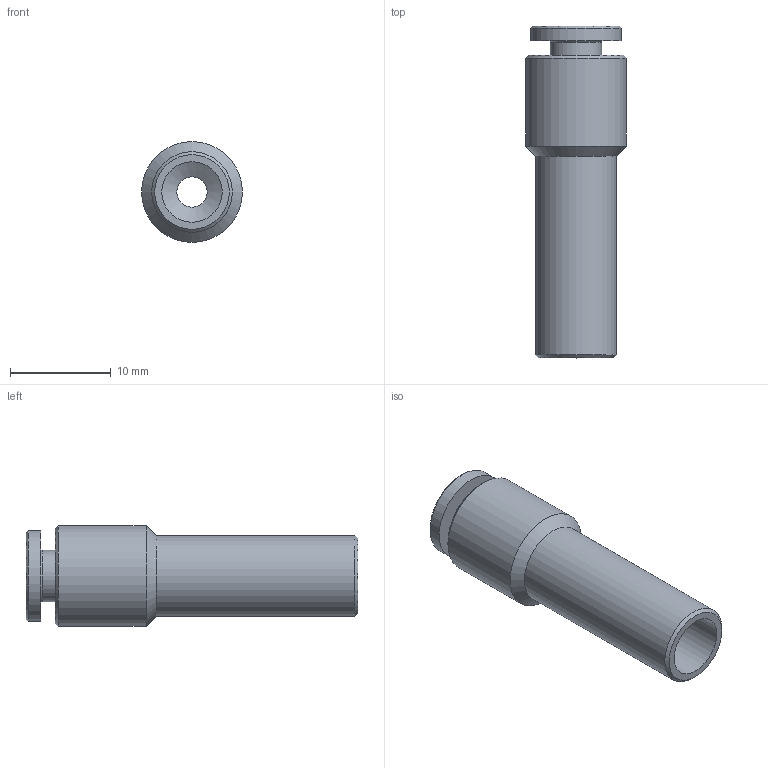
import cadquery as cq
import math


stem_length = 20.0
shoulder_length = 1.0
body_length = 9.0
collar_length = 2.9
flange_thickness = 1.45
overall_length = stem_length + shoulder_length + body_length + collar_length

stem_radius = 4.0
body_radius = stem_radius + shoulder_length
flange_radius = 4.5
neck_radius = 2.55

stem_chamfer = 0.3
body_chamfer = 0.3
flange_chamfer = 0.2
neck_chamfer = 0.15

bore_radius = 3.0
passage_radius = 1.5
bore_depth = stem_length
bore_cone_angle = 120.0
bore_cone_length = (bore_radius - passage_radius) / math.tan(math.radians(bore_cone_angle / 2))

stem_end = -overall_length / 2
shoulder_start = stem_end + stem_length
body_start = shoulder_start + shoulder_length
body_end = body_start + body_length
collar_end = body_end + collar_length
flange_start = collar_end - flange_thickness


def revolve_about_y(points):
    """Turn a closed (radius, y) outline around the Y axis."""
    return cq.Workplane("XY").polyline(points).close().revolve(360, (0, 0, 0), (0, 1, 0))


def make_outer_shape():
    """Stem, conical shoulder, body, neck and flange in one turned outline."""
    return revolve_about_y([
        (0, stem_end),
        (stem_radius - stem_chamfer, stem_end),
        (stem_radius, stem_end + stem_chamfer),
        (stem_radius, shoulder_start),
        (body_radius, body_start),
        (body_radius, body_end - body_chamfer),
        (body_radius - body_chamfer, body_end),
        (neck_radius, body_end),
        (neck_radius, flange_start - neck_chamfer),
        (neck_radius + neck_chamfer, flange_start),
        (flange_radius, flange_start),
        (flange_radius, collar_end - flange_chamfer),
        (flange_radius - flange_chamfer, collar_end),
        (0, collar_end),
    ])


def make_passage():
    """Wide stem bore that tapers into the narrow through passage."""
    bore_end = stem_end + bore_depth
    return revolve_about_y([
        (0, stem_end),
        (bore_radius, stem_end),
        (bore_radius, bore_end),
        (passage_radius, bore_end + bore_cone_length),
        (passage_radius, collar_end),
        (0, collar_end),
    ])


result = make_outer_shape().cut(make_passage())